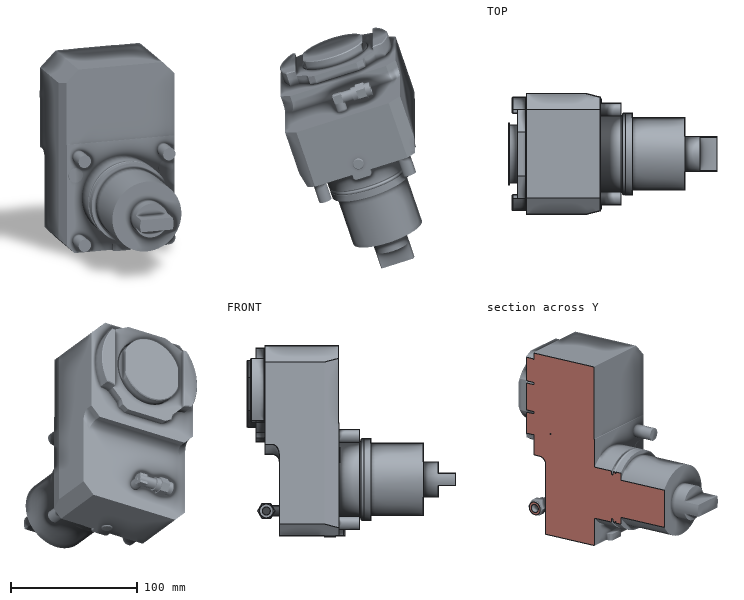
import cadquery as cq
import math


width = 96.0
half_width = width / 2
top_z = 106.1
bottom_z = -44.9
front_x = -59.0
lower_front_x = -47.5
back_relief_depth = 0.5
back_relief_bottom = 44.9
top_chamfer = 12.9
bottom_chamfer = 9.5
bevel_length = 11.6
bevel_depth = 3.0
step_z = 19.9
step_rise = 8.0
step_radius = 5.8
cap_y = 37.5
cap_z = 19.2
cap_radius = 6.0
cap_height = 0.5

head_z = 67.9
flange_front_x = -66.0
ear_front_x = -70.2
nose_front_x = -73.2
flange_top = 36.2
flange_bottom = -38.0
flange_flat = 17.5
ear_radius = 45.0
ear_inner = 32.3
ear_top = 28.1
corner_relief_center = (39.2, -37.5)
corner_relief_radius = 16.5
corner_relief_chord = 15.5
edge_chamfer = 0.7
nose_radius = 26.6
nose_lip_flat = 24.7
nose_neck_flat = 23.2
nose_lip_thickness = 1.0
gap_radius = 27.3

collar_radius = 32.5
collar_end = 16.2
neck_radius = 30.5
seal_start = 17.2
ring_start = 19.9
ring_end = 25.2
ring_radius = 32.5
shank_radius = 28.8
shank_end = 66.9
shaft_diameter = 28.0
shaft_radius = shaft_diameter / 2
shaft_end = 78.8
tang_end = 92.3
tang_thickness = 10.0
bolt_y = 35.3
bolt_z = 34.6
bolt_radius = 5.1

key_width = 14.9
key_height = 5.5
key_length = 4.8
key_chamfer = 1.5
plug_x = -7.3
plug_radius = 4.5
plug_height = 1.0

nozzle_x = -57.8
nozzle_z = -25.0
stem_radius = 4.1
pipe_radius = 4.3
pipe_start = 3.8
pipe_end = -11.6
block_half_length = 3.3
block_front = 3.6
block_back = 2.6
nut_radius = 5.5
nut_start = -15.7
nut_end = -22.8
nut_flats = 11.9
nozzle_end = -27.0
bore_radius = 3.1


def cylinder_x(radius, start, end, y=0.0, z=0.0):
    """Cylinder along X from start to end."""
    return cq.Workplane("YZ", origin=(start, y, z)).circle(radius).extrude(end - start)


def cylinder_y(radius, start, end):
    """Cylinder along the nozzle axis between two Y positions."""
    plane = cq.Workplane("XZ", origin=(nozzle_x, start, nozzle_z))
    return plane.circle(radius).extrude(start - end)


def box(x_range, y_range, z_range):
    """Box given by its limits along each axis."""
    sides = [high - low for low, high in (x_range, y_range, z_range)]
    corner = (x_range[0], y_range[0], z_range[0])
    return cq.Workplane("XY", origin=corner).box(*sides, centered=False)


def mirrored(shape):
    """The shape together with its mirror image across Y = 0."""
    return shape.union(shape.mirror("XZ"))


def make_housing():
    """Body with bevelled rear sides, relieved upper back and two low caps."""
    body = box((front_x, 0), (-half_width, half_width), (bottom_z, top_z))
    body = body.edges("|X and >Z").chamfer(top_chamfer)
    body = body.edges("|X and <Z").chamfer(bottom_chamfer)
    bevel = (
        cq.Workplane("XY", origin=(0, 0, bottom_z))
        .moveTo(-bevel_length, half_width)
        .lineTo(0, half_width - bevel_depth)
        .lineTo(0, half_width)
        .close()
        .extrude(top_z - bottom_z)
    )
    back_relief = box((-back_relief_depth, 0), (-half_width, half_width), (back_relief_bottom, top_z))
    cap = cylinder_x(cap_radius, 0, cap_height, cap_y, cap_z)
    return body.cut(mirrored(bevel)).cut(make_step()).cut(back_relief).union(mirrored(cap))


def make_step():
    """Space under the head: flat roof, 45 degree flanks, rounded into the lower front."""
    floor_z = bottom_z - step_rise
    reach = half_width + step_rise
    roof = half_width - step_rise
    step = (
        cq.Workplane("YZ", origin=(front_x, 0, 0))
        .moveTo(-reach, floor_z)
        .lineTo(-reach, step_z + 2 * step_rise)
        .lineTo(-roof, step_z)
        .lineTo(roof, step_z)
        .lineTo(reach, step_z + 2 * step_rise)
        .lineTo(reach, floor_z)
        .close()
        .extrude(lower_front_x - front_x)
    )
    margin = 0.2
    roof_edges = cq.selectors.BoxSelector(
        (lower_front_x - margin, -reach + margin, step_z - margin),
        (lower_front_x + margin, reach - margin, step_z + 2 * step_rise),
    )
    return step.edges(roof_edges).fillet(step_radius)


def make_flange():
    """Head plate with a raised ear on each side and relieved lower corners."""
    slope_y = math.sqrt(ear_radius**2 - ear_top**2)
    outline = (
        cq.Workplane("YZ", origin=(front_x, 0, head_z))
        .moveTo(-flange_flat, flange_top)
        .lineTo(flange_flat, flange_top)
        .lineTo(slope_y, ear_top)
        .threePointArc((ear_radius, 0), (slope_y, -ear_top))
        .lineTo(flange_flat, flange_bottom)
        .lineTo(-flange_flat, flange_bottom)
        .lineTo(-slope_y, -ear_top)
        .threePointArc((-ear_radius, 0), (-slope_y, ear_top))
        .close()
    )
    plate = outline.extrude(ear_front_x - front_x)
    plate = plate.faces(">X").chamfer(edge_chamfer)
    raised = (ear_front_x, flange_front_x)
    between_ears = box(raised, (-ear_inner, ear_inner), (head_z - ear_radius, head_z + ear_radius))
    above_ears = box(raised, (-ear_radius, ear_radius), (head_z + ear_top, head_z + ear_radius))
    plate = plate.cut(mirrored(make_relief())).cut(between_ears).cut(above_ears)
    return plate.faces("<X").chamfer(edge_chamfer)


def make_relief():
    """Round lower-corner relief with a 45 degree flat facing the spindle."""
    relief_y, relief_z = corner_relief_center
    relief = cylinder_x(corner_relief_radius, ear_front_x, front_x, relief_y, head_z + relief_z)
    keep = box(
        (ear_front_x, front_x),
        (-corner_relief_radius, corner_relief_chord),
        (-corner_relief_radius, corner_relief_radius),
    )
    up_and_inward = 135
    keep = keep.rotate((0, 0, 0), (1, 0, 0), up_and_inward).translate((0, relief_y, head_z + relief_z))
    return relief.intersect(keep)


def nose_disc(start, end):
    """Round length of the spindle nose."""
    return cylinder_x(nose_radius, start, end, 0, head_z)


def with_flats(disc, flat):
    """Spindle nose length cut to two parallel side flats."""
    z_range = (head_z - nose_radius, head_z + nose_radius)
    return disc.intersect(box((nose_front_x, front_x), (-flat, flat), z_range))


def make_head():
    """Flange with the spindle nose standing in a narrow, bevelled ring gap."""
    lip_back_x = nose_front_x + nose_lip_thickness
    mouth = cq.Solid.makeCone(
        gap_radius + edge_chamfer,
        gap_radius,
        edge_chamfer,
        cq.Vector(flange_front_x, 0, head_z),
        cq.Vector(1, 0, 0),
    )
    gap = cylinder_x(gap_radius, flange_front_x, front_x, 0, head_z).union(cq.Workplane(mouth))
    lip = nose_disc(nose_front_x, lip_back_x).faces("<X").chamfer(edge_chamfer)
    lip = with_flats(lip, nose_lip_flat)
    neck = with_flats(nose_disc(lip_back_x, flange_front_x), nose_neck_flat)
    base = nose_disc(flange_front_x, front_x)
    return make_flange().cut(gap).union(base).union(neck).union(lip)


def make_shank():
    """Stepped round shank with seal ring, drive tang and four bolts."""
    seal_radius = (ring_start - seal_start) / 2
    profile = (
        cq.Workplane("XY")
        .moveTo(0, 0)
        .lineTo(0, collar_radius)
        .lineTo(collar_end, collar_radius)
        .lineTo(collar_end, neck_radius)
        .lineTo(seal_start, neck_radius)
        .lineTo(seal_start, ring_radius - seal_radius)
        .threePointArc(
            (seal_start + seal_radius, ring_radius),
            (ring_start, ring_radius - seal_radius),
        )
        .lineTo(ring_start, ring_radius)
        .lineTo(ring_end, ring_radius)
        .lineTo(ring_end, shank_radius)
        .lineTo(shank_end, shank_radius)
        .lineTo(shank_end, 0)
        .close()
    )
    shank = profile.revolve(360, (0, 0, 0), (1, 0, 0))
    shaft = cylinder_x(shaft_radius, shank_end, shaft_end)
    tang = cylinder_x(shaft_radius, shaft_end, tang_end).intersect(
        box(
            (shaft_end, tang_end),
            (-shaft_radius, shaft_radius),
            (-tang_thickness / 2, tang_thickness / 2),
        )
    )
    shank = shank.union(shaft).union(tang)
    for y in (-bolt_y, bolt_y):
        for z in (-bolt_z, bolt_z):
            shank = shank.union(cylinder_x(bolt_radius, 0, collar_end, y, z))
    return shank


def make_key():
    """Locating key at the foot of the back face."""
    key = box((0, key_length), (-key_width / 2, key_width / 2), (bottom_z, bottom_z + key_height))
    return key.edges("|Z and >X").chamfer(key_chamfer)


def make_plug():
    """Low plug under the housing."""
    plug = cq.Workplane("XY", origin=(plug_x, 0, bottom_z)).circle(plug_radius).extrude(-plug_height)
    return plug.faces("<Z").chamfer(plug_height / 2)


def make_nozzle():
    """Elbow fitting: stem into the housing, sideways pipe and hexagon nut."""
    stem = cylinder_x(stem_radius, nozzle_x, lower_front_x, 0, nozzle_z)
    block = box(
        (nozzle_x - block_front, nozzle_x + block_back),
        (-block_half_length, block_half_length),
        (nozzle_z - pipe_radius, nozzle_z + pipe_radius),
    )
    pipe = cylinder_y(pipe_radius, pipe_start, pipe_end)
    sleeve = cylinder_y(nut_radius, pipe_end, nozzle_end)
    flat_on_top = 30
    nut = (
        cq.Workplane("XZ", origin=(nozzle_x, nut_start, nozzle_z))
        .polygon(6, nut_flats, circumscribed=True)
        .extrude(nut_start - nut_end)
        .rotate((nozzle_x, 0, nozzle_z), (nozzle_x, 1, nozzle_z), flat_on_top)
    )
    bore = cylinder_y(bore_radius, pipe_end, nozzle_end)
    return stem.union(block).union(pipe).union(sleeve).union(nut).cut(bore)


result = (
    make_housing()
    .union(make_head())
    .union(make_shank())
    .union(make_key())
    .union(make_plug())
    .union(make_nozzle())
)